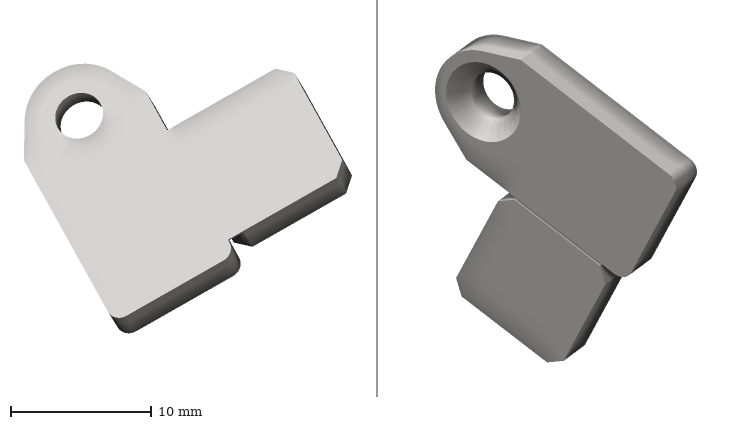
import cadquery as cq
import math

thickness = 3.0

lug_length = 14.69
lug_width = 9.98
eye_radius = 4.0
eye_offset = 0.92
eye_x = -eye_offset
eye_y = lug_width / 2
corner_radius = 1.0

hole_diameter = 3.5
sink_diameter = 6.15
sink_angle = 90

arm_left = 3.52
arm_width = 9.9
arm_end = 19.86
arm_chamfer = 1.0
slot_width = 0.2
skin_thickness = 0.18

tilt_x = 25.3
tilt_y = 20.3
tilt_z = -12.5


def eye_point(angle):
    """Point on the rim of the eye, at an angle from the +X direction."""
    return (eye_x + eye_radius * math.cos(angle), eye_y + eye_radius * math.sin(angle))


def make_lug():
    corner_distance = math.hypot(eye_offset, eye_y)
    corner_angle = math.atan2(eye_y, eye_offset)
    tangent_angle = corner_angle + math.acos(eye_radius / corner_distance)
    return (
        cq.Workplane("XY")
        .moveTo(0, 0)
        .lineTo(lug_length, 0)
        .lineTo(lug_length, lug_width)
        .lineTo(0, lug_width)
        .lineTo(*eye_point(tangent_angle))
        .threePointArc(eye_point(math.pi), eye_point(-tangent_angle))
        .close()
        .extrude(-thickness)
        .edges("|Z and >X")
        .fillet(corner_radius)
    )


def make_arm():
    start = lug_width + slot_width
    return (
        cq.Workplane("XY")
        .moveTo(arm_left, start)
        .rect(arm_width, arm_end - start, centered=False)
        .extrude(-thickness)
        .edges("|Z and (>Y or <Y)")
        .chamfer(arm_chamfer)
    )


def make_skin():
    overlap = arm_chamfer
    return (
        cq.Workplane("XY")
        .moveTo(arm_left, lug_width - overlap)
        .rect(arm_width, slot_width + 2 * overlap, centered=False)
        .extrude(-skin_thickness)
    )


def make_hole():
    straight = cq.Workplane("XY").center(eye_x, eye_y).circle(hole_diameter / 2).extrude(-thickness)
    sink_depth = (sink_diameter - hole_diameter) / 2 / math.tan(math.radians(sink_angle / 2))
    sink = cq.Solid.makeCone(
        sink_diameter / 2,
        hole_diameter / 2,
        sink_depth,
        pnt=cq.Vector(eye_x, eye_y, -thickness),
        dir=cq.Vector(0, 0, 1),
    )
    return straight.union(cq.Workplane(obj=sink))


flat_part = make_lug().union(make_arm()).union(make_skin()).cut(make_hole())
origin = (0, 0, 0)
result = (
    flat_part
    .rotate(origin, (1, 0, 0), tilt_x)
    .rotate(origin, (0, 1, 0), tilt_y)
    .rotate(origin, (0, 0, 1), tilt_z)
)